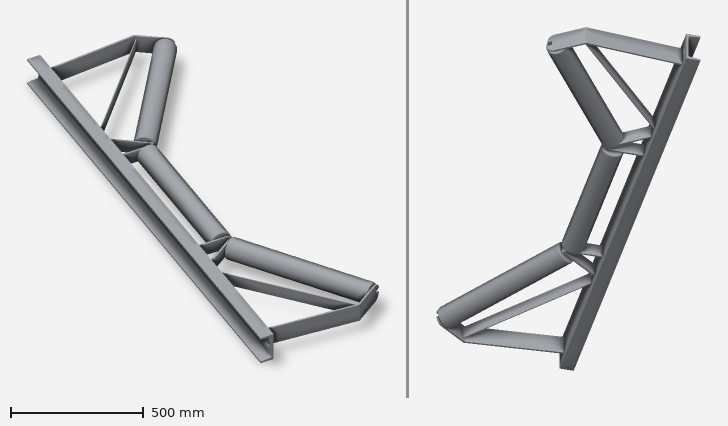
import cadquery as cq
import math

beam_length = 1900
beam_depth = 55.0
beam_height = 120.0
web_thickness = 8.0
flange_tip_thickness = 8.0
flange_root_thickness = 11.0
beam_fillet = 8.0
beam_slot_width = 17.0
beam_slot_height = 30.0
beam_slot_inset = 28.0

trough_angle = 35
roller_diameter = 90.0
roller_length = 600.0
roller_edge_fillet = 5.0
axle_diameter = 30.0
axle_flat_width = 17.0
centre_roller_y = 115.0
side_roller_inner_x = 345.0
side_roller_inner_y = 130.0

outer_strip_width = 76.0
inner_strip_width = 53.0
strip_thickness = 8.0
bracket_gap = 5.0
inner_post_top_y = 140.0
inner_leg_top_y = 148.0
outer_fold_y = 380.0
outer_foot_x = 884.0
outer_tip_reach = 35.0
outer_tip_fillet = 28.0
brace_top_y = 388.0
brace_foot_x = 471.0
brace_width = 51.0
brace_thickness = 4.0

tilt = math.radians(trough_angle)
axis_dir = cq.Vector(math.cos(tilt), math.sin(tilt), 0)
rise_dir = cq.Vector(-math.sin(tilt), math.cos(tilt), 0)
bracket_offset = bracket_gap + strip_thickness / 2
axle_overhang = bracket_gap + strip_thickness
centre_dir = cq.Vector(1, 0, 0)
centre_start = cq.Vector(-roller_length / 2, centre_roller_y, 0)
side_inner_end = cq.Vector(side_roller_inner_x, side_roller_inner_y, 0)
leg_axis_point = side_inner_end - axis_dir * bracket_offset
arm_axis_point = side_inner_end + axis_dir * (roller_length + bracket_offset)


def point_on_plate(axis_point, y):
    """XY point at height y on the tilted plate through axis_point."""
    return (axis_point.x - (y - axis_point.y) * math.tan(tilt), y)


def strip(points, thickness, width):
    """Flat strip bent along an XY centre line with mitred folds, centred on Z = 0."""
    segments = [
        (cq.Vector(*end) - cq.Vector(*start)).normalized()
        for start, end in zip(points, points[1:])
    ]
    normals = [cq.Vector(-s.y, s.x, 0) for s in segments]
    left_side = []
    right_side = []
    for point, before, after in zip(points, normals[:1] + normals, normals + normals[-1:]):
        mitre = (before + after) * (thickness / 2 / (1 + before.dot(after)))
        left_side.append((cq.Vector(*point) + mitre).toTuple()[:2])
        right_side.append((cq.Vector(*point) - mitre).toTuple()[:2])
    outline = left_side + right_side[::-1]
    return cq.Workplane("XY").polyline(outline).close().extrude(width / 2, both=True)


def trim_to_web(body):
    """Cut off whatever reaches past the back of the web."""
    beam_space = (
        cq.Workplane("XY")
        .box(beam_length, beam_depth, beam_height)
        .translate((0, -beam_depth / 2, 0))
    )
    return body.cut(beam_space)


def make_beam():
    half_height = beam_height / 2
    root_z = half_height - flange_root_thickness
    tip_z = half_height - flange_tip_thickness
    outline = [
        (0, half_height),
        (-beam_depth, half_height),
        (-beam_depth, tip_z),
        (-web_thickness, root_z),
        (-web_thickness, -root_z),
        (-beam_depth, -tip_z),
        (-beam_depth, -half_height),
        (0, -half_height),
    ]
    beam = cq.Workplane("YZ").polyline(outline).close().extrude(beam_length / 2, both=True)
    web_front = beam.faces("|Y").faces(">Y[-2]")
    beam = web_front.edges("|X").fillet(beam_fillet)
    slot_x = beam_length / 2 - beam_slot_inset
    slots = (
        cq.Workplane("XZ")
        .pushPoints([(-slot_x, 0), (slot_x, 0)])
        .slot2D(beam_slot_height, beam_slot_width, 90)
        .extrude(beam_depth)
    )
    return beam.cut(slots)


def axle_profile(end_plane):
    """Round axle section with two flats facing up and down in Z."""
    half_flat = axle_flat_width / 2
    half_chord = math.sqrt((axle_diameter / 2) ** 2 - half_flat**2)
    return (
        cq.Workplane(end_plane)
        .moveTo(-half_chord, -half_flat)
        .lineTo(half_chord, -half_flat)
        .threePointArc((axle_diameter / 2, 0), (half_chord, half_flat))
        .lineTo(-half_chord, half_flat)
        .threePointArc((-axle_diameter / 2, 0), (-half_chord, -half_flat))
        .close()
    )


def make_axle(start, direction):
    """Axle through a roller whose end face is centred on start."""
    across = cq.Vector(-direction.y, direction.x, 0)
    end_plane = cq.Plane(start - direction * axle_overhang, across, direction)
    return axle_profile(end_plane).extrude(roller_length + 2 * axle_overhang)


def make_roller(start, direction):
    shell_plane = cq.Plane(start, cq.Vector(0, 0, 1), direction)
    shell = cq.Workplane(shell_plane).circle(roller_diameter / 2).extrude(roller_length)
    shell = shell.edges().fillet(roller_edge_fillet)
    return shell.union(make_axle(start, direction))


def make_inner_bracket():
    """Post for the centre roller, bent over into a leg for the side roller."""
    post_x = roller_length / 2 + bracket_offset
    centre_line = [
        (post_x, -beam_depth / 2),
        (post_x, inner_post_top_y),
        point_on_plate(leg_axis_point, inner_leg_top_y),
        point_on_plate(leg_axis_point, -beam_depth / 2),
    ]
    bracket = trim_to_web(strip(centre_line, strip_thickness, inner_strip_width))
    bracket = bracket.cut(make_axle(centre_start, centre_dir))
    return bracket.cut(make_axle(side_inner_end, axis_dir))


def make_outer_bracket():
    """Upright from the web, folded into a slotted arm for the side roller's outer end."""
    fold = point_on_plate(arm_axis_point, outer_fold_y)
    tip = arm_axis_point + rise_dir * outer_tip_reach
    foot_slope = (fold[0] - outer_foot_x) / fold[1]
    foot = (outer_foot_x - foot_slope * beam_depth / 2, -beam_depth / 2)
    bracket = trim_to_web(strip([foot, fold, (tip.x, tip.y)], strip_thickness, outer_strip_width))
    tip_corners = cq.selectors.ParallelDirSelector(axis_dir)
    bracket = bracket.edges(tip_corners).fillet(outer_tip_fillet)
    slot_plane = cq.Plane(arm_axis_point, rise_dir, axis_dir)
    slot = (
        cq.Workplane(slot_plane)
        .center(outer_tip_reach / 2, 0)
        .rect(outer_tip_reach, axle_flat_width)
        .extrude(strip_thickness, both=True)
    )
    return bracket.cut(slot).cut(make_axle(side_inner_end, axis_dir))


def make_brace(bracket):
    """Diagonal strip from the fold of the outer bracket down to the web."""
    fold = point_on_plate(arm_axis_point, brace_top_y)
    foot_slope = (fold[0] - brace_foot_x) / fold[1]
    foot = (brace_foot_x - foot_slope * beam_depth / 2, -beam_depth / 2)
    return trim_to_web(strip([foot, fold], brace_thickness, brace_width)).cut(bracket)


beam = make_beam()
centre_roller = make_roller(centre_start, centre_dir)
side_roller = make_roller(side_inner_end, axis_dir)
inner_bracket = make_inner_bracket()
outer_bracket = make_outer_bracket()
brace = make_brace(outer_bracket)

bodies = [beam.val(), centre_roller.val()]
for body in (side_roller, inner_bracket, outer_bracket, brace):
    bodies.append(body.val())
    bodies.append(body.mirror("YZ").val())
result = cq.Compound.makeCompound(bodies)